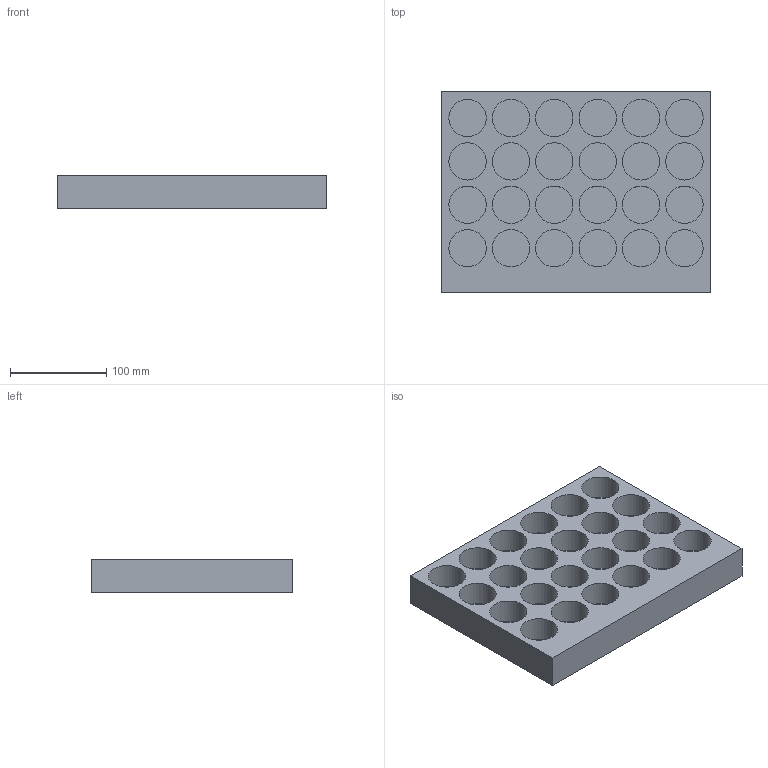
import cadquery as cq

plate_length = 278.0
plate_width = 209.0
plate_height = 35.0

pocket_diameter = 38.7
pocket_depth = 26.0
pocket_pitch = 45.0
columns = 6
rows = 4
back_margin = 27.8

grid_width = (rows - 1) * pocket_pitch
grid_centre_y = plate_width / 2 - back_margin - grid_width / 2


def make_plate():
    """Rectangular block, centred in X and Y with its underside at Z = 0."""
    return cq.Workplane("XY").box(plate_length, plate_width, plate_height, centered=(True, True, False))


def make_pockets():
    """Flat-bottomed round pockets, open at the top face."""
    return (
        cq.Workplane("XY", origin=(0, grid_centre_y, plate_height))
        .rarray(pocket_pitch, pocket_pitch, columns, rows)
        .circle(pocket_diameter / 2)
        .extrude(-pocket_depth)
    )


result = make_plate().cut(make_pockets())